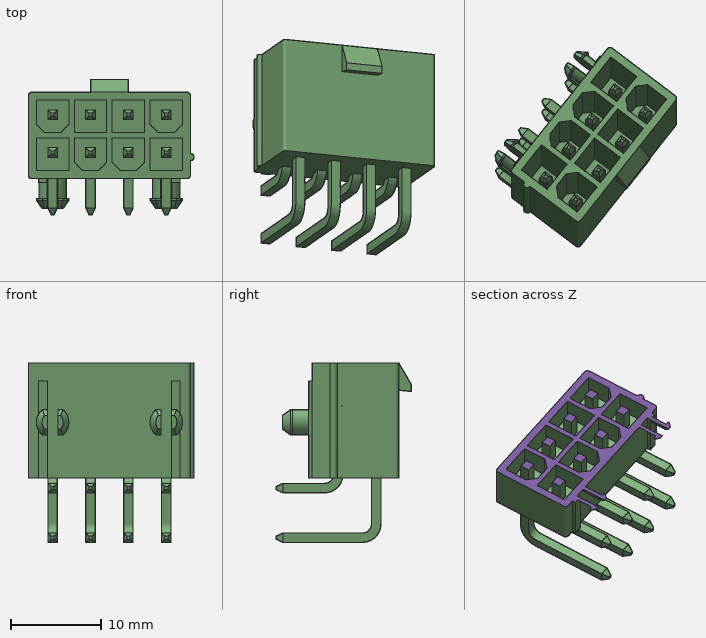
import cadquery as cq
import math


body_width = 18.0
body_depth = 9.6
body_height = 12.8
corner_radius = 0.4
front_y = -body_depth / 2
back_y = body_depth / 2

pitch = 4.2
columns = 4
rows = 2
cavity_size = 3.6
cavity_floor = 2.5
key_chamfer = 0.92
keyed_cavities = [(1, 0), (2, 0), (0, 1), (3, 1)]

side_rib_radius = 0.4
side_rib_y = -2.4

latch_width = 4.2
latch_reach = 1.4
latch_slope_height = 2.4
latch_tip_height = 3.2
latch_root_height = 3.05

peg_x = (columns - 1) / 2 * pitch
peg_z = 6.2
peg_slot = 1.15
peg_half_height = 1.4
shank_radius = 1.53
shank_length = 2.2
head_radius = 1.8
head_rim = 0.2
head_taper_length = 0.9
head_taper_inset = 0.63
rail_width = 0.97
rail_depth = 0.4
rail_height = 10.8

pin_size = 1.07
pin_row_offset = 0.2
pin_inner_bend = 1.0
pin_exposed_length = 6.0
pin_top_z = cavity_floor + pin_exposed_length
pin_front_y = -8.8
pin_tip_length = 0.77
pin_tip_size = 0.35
lower_tail_z = -6.595
tail_spacing = 5.5
upper_tail_z = lower_tail_z + tail_spacing


def column_x(column):
    return (column - (columns - 1) / 2) * pitch


def row_y(row):
    return (row - (rows - 1) / 2) * pitch


def make_box(x_range, y_range, z_range):
    size = [end - start for start, end in (x_range, y_range, z_range)]
    corner = (x_range[0], y_range[0], z_range[0])
    return cq.Workplane("XY").box(*size, centered=False).translate(corner)


def make_housing():
    shell = cq.Workplane("XY").box(body_width, body_depth, body_height, centered=(True, True, False))
    return shell.edges("|Z").fillet(corner_radius)


def make_cavity(column, row):
    cavity = cq.Workplane("XY").box(
        cavity_size, cavity_size, body_height - cavity_floor, centered=(True, True, False)
    )
    if (column, row) in keyed_cavities:
        cavity = cavity.faces("<Y").edges("|Z").chamfer(key_chamfer)
    return cavity.translate((column_x(column), row_y(row), cavity_floor))


def make_side_rib():
    rib = cq.Workplane("XY").circle(side_rib_radius).extrude(body_height)
    return rib.translate((body_width / 2, side_rib_y, 0))


def make_latch():
    root_y = back_y - corner_radius
    tip_y = back_y + latch_reach
    profile = [
        (root_y, body_height),
        (back_y, body_height),
        (tip_y, body_height - latch_slope_height),
        (tip_y, body_height - latch_tip_height),
        (back_y, body_height - latch_root_height),
        (root_y, body_height - latch_root_height),
    ]
    return cq.Workplane("YZ").polyline(profile).close().extrude(latch_width / 2, both=True)


def make_rail(left_x):
    """Vertical rail whose -X face lies at left_x."""
    return make_box((left_x, left_x + rail_width), (front_y - rail_depth, front_y), (0, rail_height))


def flatted_circle(radius, distance):
    """Circle with flat top and bottom, in a plane at the given distance before the front wall."""
    half_flat = math.sqrt(radius**2 - peg_half_height**2)
    plane = cq.Workplane("XZ", origin=(0, front_y - distance, 0))
    return (
        plane.moveTo(-half_flat, peg_half_height)
        .lineTo(half_flat, peg_half_height)
        .threePointArc((radius, 0), (half_flat, -peg_half_height))
        .lineTo(-half_flat, -peg_half_height)
        .threePointArc((-radius, 0), (-half_flat, peg_half_height))
        .close()
    )


def make_peg(center_x):
    taper_start = shank_length + head_rim
    taper_angle = math.degrees(math.atan2(head_taper_inset, head_taper_length))
    shank = flatted_circle(shank_radius, 0).extrude(taper_start)
    rim = flatted_circle(head_radius, shank_length).extrude(head_rim)
    nose = flatted_circle(head_radius, taper_start).extrude(head_taper_length, taper=taper_angle)
    peg_end_y = front_y - taper_start - head_taper_length
    slot = make_box(
        (-peg_slot / 2, peg_slot / 2), (peg_end_y, front_y), (-peg_half_height, peg_half_height)
    )
    return shank.union(rim).union(nose).cut(slot).translate((center_x, 0, peg_z))


def make_pin_tip(plane):
    """Truncated pyramid that points along the normal of the plane."""
    base = cq.Workplane(plane).rect(pin_size, pin_size)
    return base.workplane(offset=pin_tip_length).rect(pin_tip_size, pin_tip_size).loft(ruled=True)


def make_pin(x, y, tail_z):
    half = pin_size / 2
    stem_top_z = pin_top_z - pin_tip_length
    tail_end_y = pin_front_y + pin_tip_length
    outer_bend = pin_inner_bend + pin_size
    bend_y = y - half - pin_inner_bend
    bend_z = tail_z + half + pin_inner_bend
    diagonal = math.sqrt(0.5)
    shaft = (
        cq.Workplane("YZ")
        .moveTo(y - half, stem_top_z)
        .lineTo(y + half, stem_top_z)
        .lineTo(y + half, bend_z)
        .threePointArc(
            (bend_y + outer_bend * diagonal, bend_z - outer_bend * diagonal), (bend_y, tail_z - half)
        )
        .lineTo(tail_end_y, tail_z - half)
        .lineTo(tail_end_y, tail_z + half)
        .lineTo(bend_y, tail_z + half)
        .threePointArc(
            (bend_y + pin_inner_bend * diagonal, bend_z - pin_inner_bend * diagonal), (y - half, bend_z)
        )
        .close()
        .extrude(half, both=True)
        .translate((x, 0, 0))
    )
    top_tip = make_pin_tip(cq.Plane(origin=(x, y, stem_top_z)))
    tail_tip = make_pin_tip(cq.Plane(origin=(x, tail_end_y, tail_z), xDir=(1, 0, 0), normal=(0, -1, 0)))
    return shaft.union(top_tip).union(tail_tip)


part = make_housing().union(make_side_rib()).union(make_latch())

part = part.union(make_rail(-peg_x - peg_slot / 2 - rail_width))
part = part.union(make_rail(peg_x + peg_slot / 2))
for side in (-1, 1):
    part = part.union(make_peg(side * peg_x))

for row, tail_z in enumerate((upper_tail_z, lower_tail_z)):
    for column in range(columns):
        part = part.cut(make_cavity(column, row))
        part = part.union(make_pin(column_x(column), row_y(row) + pin_row_offset, tail_z))

result = part